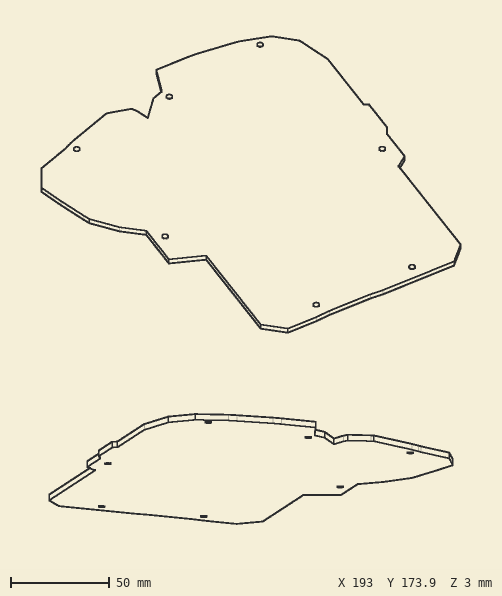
import cadquery as cq

LENGTH = 193.0
WIDTH = 173.9
THICKNESS = 3.0
HOLE_DIAMETER = 3.0

TOP_SHOULDER_Y = 171.5
RIGHT_TOP_Y = 165.4
RIGHT_BOTTOM_Y = 49.0
LOWER_STEP_Y = 31.3

HOLLOW_X = LENGTH - 0.5

left_edge = [
    (0, 92.0),
    (0, 111.0),
    (0.2, 115.5),
    (2.5, 134.3),
    (3.0, 138.5),
    (8.1, 154.8),
    (17.8, 165.5),
]
top_edge = [
    (36.3, TOP_SHOULDER_Y),
    (73.3, TOP_SHOULDER_Y),
    (74.7, WIDTH),
    (93.5, WIDTH),
    (96.9, TOP_SHOULDER_Y),
    (115.6, TOP_SHOULDER_Y),
    (120.0, RIGHT_TOP_Y),
    (184.1, RIGHT_TOP_Y),
]
right_edge = [
    (LENGTH, 156.5),
    (LENGTH, 114.8),
    (HOLLOW_X, 107.9),
    (HOLLOW_X, 84.0),
    (LENGTH, 76.0),
    (LENGTH, 59.6),
    (183.7, RIGHT_BOTTOM_Y),
]
lower_edge = [
    (127.4, RIGHT_BOTTOM_Y),
    (120.5, LOWER_STEP_Y),
    (97.0, LOWER_STEP_Y),
    (88.2, 20.6),
    (75.7, 10.2),
    (72.0, 8.9),
    (57.1, 3.9),
    (44.2, 0),
]
lobe_left_edge = [
    (32.2, 6.8),
    (25.9, 24.7),
    (24.9, 26.5),
    (23.0, 30.9),
    (14.5, 54.8),
    (14.9, 56.4),
    (18.0, 67.5),
    (20.6, 69.0),
]
notch = [
    (27.6, 71.5),
    (17.0, 80.7),
    (14.7, 87.0),
]

hole_centers = [
    (10.5, 146.7),
    (105.4, 164.2),
    (185.8, 136.0),
    (185.3, 80.5),
    (105.2, 37.6),
    (29.1, 29.1),
    (19.9, 88.4),
]


def make_plate():
    """Extrude the closed outline upward from Z = 0."""
    outline = left_edge + top_edge + right_edge + lower_edge + lobe_left_edge + notch
    return cq.Workplane("XY").polyline(outline).close().extrude(THICKNESS)


def drill_mounting_holes(plate):
    """Cut the mounting holes through the full thickness."""
    drills = cq.Workplane("XY").pushPoints(hole_centers).circle(HOLE_DIAMETER / 2).extrude(THICKNESS)
    return plate.cut(drills)


result = drill_mounting_holes(make_plate())